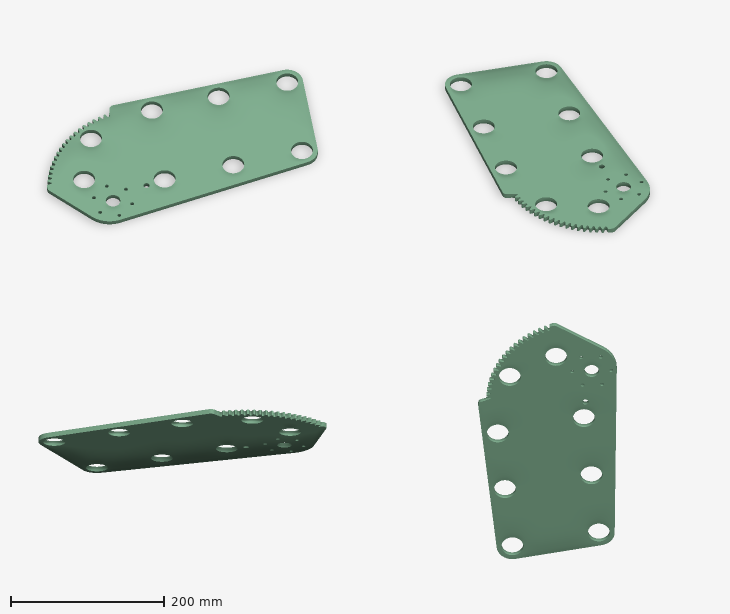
import cadquery as cq
import math

THICKNESS = 6.35

MODULE = 2.54
TEETH_IN_FULL_CIRCLE = 100
PRESSURE_ANGLE = math.radians(20)
DEDENDUM_FACTOR = 1.157
PITCH_RADIUS = MODULE * TEETH_IN_FULL_CIRCLE / 2
OUTER_RADIUS = PITCH_RADIUS + MODULE
ROOT_RADIUS = PITCH_RADIUS - DEDENDUM_FACTOR * MODULE
BASE_RADIUS = PITCH_RADIUS * math.cos(PRESSURE_ANGLE)
TOOTH_STEP = 2 * math.pi / TEETH_IN_FULL_CIRCLE
GAPS_BELOW_AXIS = 11
GAPS_ABOVE_AXIS = 7
CUTTER_OVERRUN = 0.25 * MODULE

LARGE_HOLE_DIAMETER = 28.575
ROW_PITCH = 92.5
SHORT_ROW_PITCH = 89.85
ROW_ANGLE = math.radians(-123.95)
ROW_DIRECTION = (math.cos(ROW_ANGLE), math.sin(ROW_ANGLE))
LEFT_ROW_TOP = (24.62, 249.5)
RIGHT_ROW_TOP = (113.74, 177.2)
SECTOR_HOLES = [(-105.95, 10.55), (-67.75, -46.25)]

PIVOT_HOLE_DIAMETER = 7.9375
HUB_CENTER = (-16.2, -47.85)
HUB_BORE_DIAMETER = 19.05
BOLT_CIRCLE_RADIUS = 25.4
BOLT_HOLE_DIAMETER = 5.0
BOLT_COUNT = 6

HOLE_WALL = 6.35
TOP_CORNER_RADIUS = LARGE_HOLE_DIAMETER / 2 + HOLE_WALL
HUB_CORNER_RADIUS = 38.1
HUB_CORNER_SHIFT = 6.0
HUB_CORNER_CENTER = (HUB_CENTER[0] - HUB_CORNER_SHIFT, HUB_CENTER[1])
SMALL_CORNER_RADIUS = 6.35
SECTOR_CORNER_ANGLE = math.radians(180 + 42.84)
NOTCH_CORNER_DISTANCE = 229.3
NOTCH_NORMAL_ANGLE = math.radians(180 + 45)


def polar(radius, angle, center=(0, 0)):
    return (center[0] + radius * math.cos(angle), center[1] + radius * math.sin(angle))


def along_row(start, distance):
    return (start[0] + distance * ROW_DIRECTION[0], start[1] + distance * ROW_DIRECTION[1])


def tangent_normal(first, second):
    """Angle of the outward normal of the line touching two circles passed clockwise."""
    (x1, y1), r1 = first
    (x2, y2), r2 = second
    heading = math.atan2(y2 - y1, x2 - x1)
    return heading + math.acos((r1 - r2) / math.hypot(x2 - x1, y2 - y1))


def clockwise_arc(outline, corner, start_angle, end_angle):
    """Add a clockwise arc that starts at the current point."""
    center, radius = corner
    sweep = (start_angle - end_angle) % (2 * math.pi)
    middle = polar(radius, start_angle - sweep / 2, center)
    return outline.threePointArc(middle, polar(radius, end_angle, center))


def make_blank():
    left_top = (LEFT_ROW_TOP, TOP_CORNER_RADIUS)
    right_top = (RIGHT_ROW_TOP, TOP_CORNER_RADIUS)
    hub = (HUB_CORNER_CENTER, HUB_CORNER_RADIUS)
    sector_center = polar(OUTER_RADIUS - SMALL_CORNER_RADIUS, SECTOR_CORNER_ANGLE)
    sector_end = (sector_center, SMALL_CORNER_RADIUS)
    notch_center = polar(
        TOP_CORNER_RADIUS - SMALL_CORNER_RADIUS,
        ROW_ANGLE - math.pi / 2,
        along_row(LEFT_ROW_TOP, NOTCH_CORNER_DISTANCE),
    )
    notch = (notch_center, SMALL_CORNER_RADIUS)

    left_edge = tangent_normal(notch, left_top)
    top_edge = tangent_normal(left_top, right_top)
    right_edge = tangent_normal(right_top, hub)
    bottom_edge = tangent_normal(hub, sector_end)

    notch_start = polar(SMALL_CORNER_RADIUS, NOTCH_NORMAL_ANGLE, notch_center)
    axis_to_notch_side = polar(1, NOTCH_NORMAL_ANGLE)
    notch_offset = notch_start[0] * axis_to_notch_side[0] + notch_start[1] * axis_to_notch_side[1]
    notch_end_angle = NOTCH_NORMAL_ANGLE - math.acos(notch_offset / OUTER_RADIUS)

    outline = cq.Workplane("XY").moveTo(*polar(TOP_CORNER_RADIUS, left_edge, LEFT_ROW_TOP))
    outline = clockwise_arc(outline, left_top, left_edge, top_edge)
    outline = outline.lineTo(*polar(TOP_CORNER_RADIUS, top_edge, RIGHT_ROW_TOP))
    outline = clockwise_arc(outline, right_top, top_edge, right_edge)
    outline = outline.lineTo(*polar(HUB_CORNER_RADIUS, right_edge, HUB_CORNER_CENTER))
    outline = clockwise_arc(outline, hub, right_edge, bottom_edge)
    outline = outline.lineTo(*polar(SMALL_CORNER_RADIUS, bottom_edge, sector_center))
    outline = clockwise_arc(outline, sector_end, bottom_edge, SECTOR_CORNER_ANGLE)
    outline = clockwise_arc(outline, ((0, 0), OUTER_RADIUS), SECTOR_CORNER_ANGLE, notch_end_angle)
    outline = outline.lineTo(*notch_start)
    outline = clockwise_arc(outline, notch, NOTCH_NORMAL_ANGLE, left_edge)
    return outline.close().extrude(THICKNESS)


def involute(pressure_angle):
    return math.tan(pressure_angle) - pressure_angle


def gap_half_angle(radius):
    flank_angle = involute(math.acos(BASE_RADIUS / radius)) - involute(PRESSURE_ANGLE)
    return TOOTH_STEP / 4 + flank_angle


def make_tooth_gap(center_angle):
    """Space between two teeth, reaching slightly past the tooth tips."""
    radii = [ROOT_RADIUS, PITCH_RADIUS, OUTER_RADIUS + CUTTER_OVERRUN]
    upper = [polar(r, center_angle - gap_half_angle(r)) for r in radii]
    lower = [polar(r, center_angle + gap_half_angle(r)) for r in radii]
    return (
        cq.Workplane("XY")
        .moveTo(*upper[0])
        .threePointArc(upper[1], upper[2])
        .lineTo(*lower[2])
        .threePointArc(lower[1], lower[0])
        .threePointArc(polar(ROOT_RADIUS, center_angle), upper[0])
        .close()
        .extrude(THICKNESS)
    )


def cut_teeth(plate):
    for index in range(-GAPS_ABOVE_AXIS, GAPS_BELOW_AXIS + 1):
        plate = plate.cut(make_tooth_gap(math.pi + index * TOOTH_STEP))
    return plate


def cut_holes(plate, centers, diameter):
    drills = cq.Workplane("XY").pushPoints(centers).circle(diameter / 2).extrude(THICKNESS)
    return plate.cut(drills)


def large_hole_centers():
    left_row = [0, ROW_PITCH, ROW_PITCH + SHORT_ROW_PITCH]
    right_row = [0, ROW_PITCH, 2 * ROW_PITCH]
    centers = [along_row(LEFT_ROW_TOP, distance) for distance in left_row]
    centers += [along_row(RIGHT_ROW_TOP, distance) for distance in right_row]
    return centers + SECTOR_HOLES


def bolt_hole_centers():
    step = 2 * math.pi / BOLT_COUNT
    return [polar(BOLT_CIRCLE_RADIUS, math.pi / 2 + i * step, HUB_CENTER) for i in range(BOLT_COUNT)]


plate = cut_teeth(make_blank())
plate = cut_holes(plate, large_hole_centers(), LARGE_HOLE_DIAMETER)
plate = cut_holes(plate, [(0, 0)], PIVOT_HOLE_DIAMETER)
plate = cut_holes(plate, [HUB_CENTER], HUB_BORE_DIAMETER)
result = cut_holes(plate, bolt_hole_centers(), BOLT_HOLE_DIAMETER)